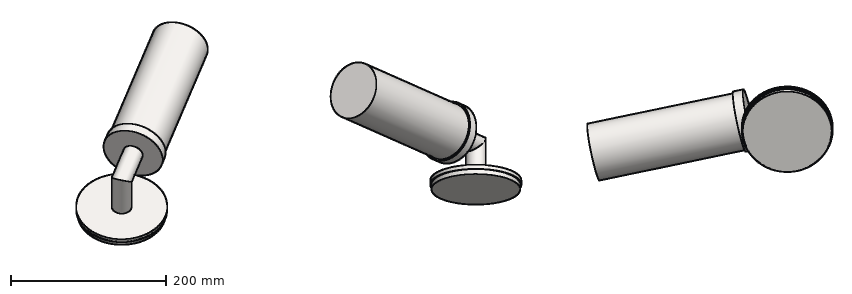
import cadquery as cq

total_length = 314.5
total_height = 101.5

plate_diameter = 117.5
plate_thickness = 5.7
foot_diameter = 114.5
foot_thickness = 6.5

pipe_diameter = 26.0

collar_diameter = 80.0
collar_thickness = 13.2
collar_start = 49.7
body_diameter = 75.0

arm_height = total_height - collar_diameter / 2
body_start = collar_start + collar_thickness
body_end = total_length - plate_diameter / 2


def disc_along_z(diameter, bottom, thickness):
    """Upright cylinder on the Z axis."""
    return cq.Workplane("XY", origin=(0, 0, bottom)).circle(diameter / 2).extrude(thickness)


def cylinder_along_y(diameter, start, end):
    """Horizontal cylinder on the arm axis, from Y = start to Y = end."""
    plane = cq.Plane(origin=(0, start, arm_height), xDir=(1, 0, 0), normal=(0, 1, 0))
    return cq.Workplane(plane).circle(diameter / 2).extrude(end - start)


def mitred_arm():
    """Pipe rising from the plate and turning square toward +Y with a mitred corner."""
    path = (
        cq.Workplane("YZ")
        .moveTo(0, foot_thickness)
        .lineTo(0, arm_height)
        .lineTo(body_start, arm_height)
    )
    profile = cq.Workplane("XY", origin=(0, 0, foot_thickness)).circle(pipe_diameter / 2)
    return profile.sweep(path, transition="right")


foot = disc_along_z(foot_diameter, 0, foot_thickness)
plate = disc_along_z(plate_diameter, foot_thickness, plate_thickness)
collar = cylinder_along_y(collar_diameter, collar_start, body_start)
body = cylinder_along_y(body_diameter, body_start, body_end)

result = foot.union(plate).union(mitred_arm()).union(collar).union(body)